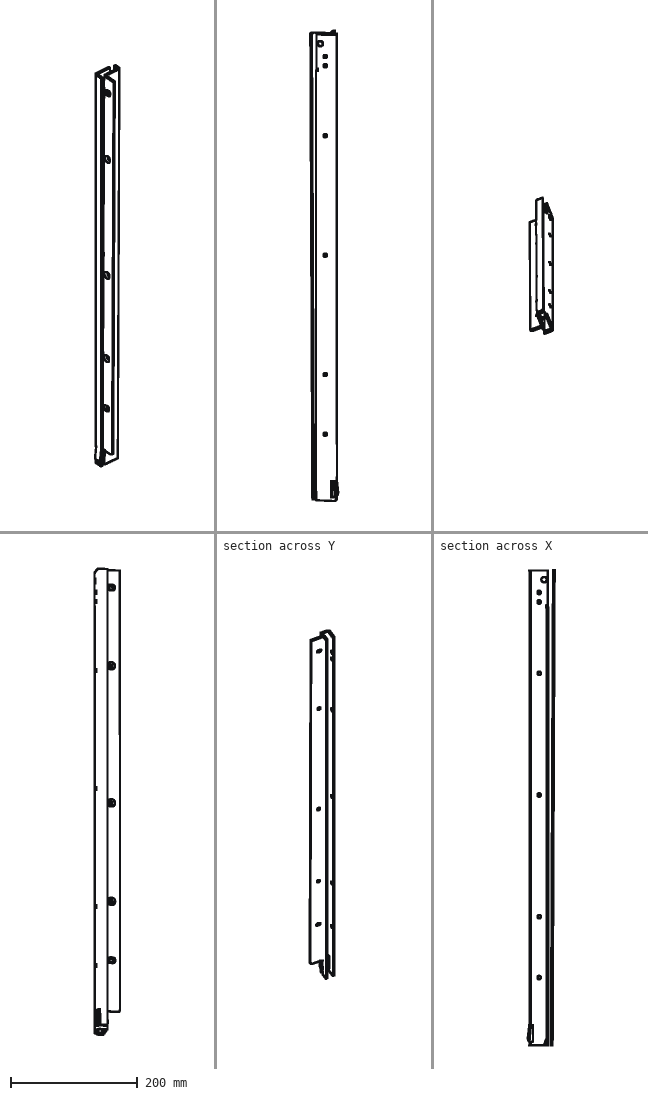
import cadquery as cq
import math

LENGTH = 750.0
WIDTH = 37.0
DEPTH = 43.0

SHEET = 3.0
INNER_RADIUS = 0.5
OUTER_RADIUS = INNER_RADIUS + SHEET

CHANNEL_LENGTH = 749.5
CHANNEL_DEPTH = 31.0
TAB_REACH = 2.0
WALL_OUT = -WIDTH / 2
WALL_IN = WALL_OUT + SHEET
FRONT_OUT = -DEPTH / 2 + TAB_REACH
FRONT_IN = FRONT_OUT + SHEET
BACK_OUT = FRONT_OUT + CHANNEL_DEPTH
BACK_IN = BACK_OUT - SHEET
FRONT_LEG_END = -3.0
BACK_LEG_END = -7.0
CHANNEL_TOP = CHANNEL_LENGTH / 2
CHANNEL_BOTTOM = -CHANNEL_TOP

BACK_LEG_TOP = 316.0
NOTCH_HEIGHT = 4.0
FLAT_WALL_EXTRA = 2.4
LEG_CORNER_RADIUS = 7.0

STOP_HEIGHT = 12.0
STOP_REACH = 4.5

WINDOW_TOP = -343.0
WINDOW_BOTTOM = -369.0
WINDOW_IN_WALL = 6.0
TAB_GAP = 1.5
TAB_END_RADIUS = 7.5
TAB_END_HEIGHT = 4.5

WALL_HOLE_Y = -3.4
WALL_HOLE_DIAMETER = 5.0
WALL_HOLE_HEIGHTS = [340.0, 325.0, 212.0, 20.0, -172.0, -268.0]
END_HOLE_Y = 4.5
END_HOLE_DIAMETER = 8.0
END_HOLE_HEIGHT = 360.0

LEAN_ANGLE = 0.25
LEAN = math.radians(LEAN_ANGLE)
BRACKET_DEPTH = 33.0
BRACKET_LENGTH = (LENGTH - BRACKET_DEPTH * math.sin(LEAN)) / math.cos(LEAN)
BRACKET_TOP = BRACKET_LENGTH / 2
WEB_OUT = -3.0
WEB_IN = WEB_OUT - SHEET
LIP_END = -15.0
FLANGE_END = WIDTH / 2
LIP_OUT = DEPTH / 2 - BRACKET_TOP * math.sin(LEAN)
LIP_IN = LIP_OUT - SHEET
FLANGE_FRONT = LIP_OUT - BRACKET_DEPTH
FLANGE_BACK = FLANGE_FRONT + SHEET
FLANGE_BOTTOM = -344.0
FLANGE_CORNER_RADIUS = 4.0
LIP_CORNER_RADIUS = 5.0

FLANGE_HOLE_X = 4.5
SINK_DIAMETER = 12.0
THROUGH_DIAMETER = 4.5
SINK_TAPER = math.degrees(math.atan((SINK_DIAMETER - THROUGH_DIAMETER) / 2 / SHEET))
ROUND_HOLE_HEIGHTS = [219.0, -4.5, -165.0]
SLOT_LENGTH = 12.0
SLOT_WIDTH = 10.0
SLOT_THROUGH_WIDTH = 4.5
SLOT_TAPER = math.degrees(math.atan((SLOT_WIDTH - SLOT_THROUGH_WIDTH) / 2 / SHEET))
SLOT_HEIGHTS = [346.5, -261.0]


def box(x_range, y_range, z_range):
    """Box between two limits along each axis."""
    sizes = [high - low for low, high in (x_range, y_range, z_range)]
    corner = (x_range[0], y_range[0], z_range[0])
    return cq.Workplane("XY").box(*sizes, centered=False).translate(corner)


def bent_sheet(points, length, bends):
    """Sheet section extruded along Z, with (inner corner, outer corner) pairs rounded as bends."""
    sheet = cq.Workplane("XY").polyline(points).close().extrude(length / 2, both=True)
    for inner, outer in bends:
        for corner, radius in ((inner, INNER_RADIUS), (outer, OUTER_RADIUS)):
            nearest = cq.selectors.NearestToPointSelector((*corner, 0))
            sheet = sheet.edges("|Z").edges(nearest).fillet(radius)
    return sheet


def wall_hole(y, z, diameter):
    """Cylinder through the channel wall."""
    return cq.Workplane("YZ", origin=(WALL_OUT, y, z)).circle(diameter / 2).extrude(SHEET)


def shape_back_leg(channel):
    """Shorten the back leg at the top, round its corner and bend its bottom end inwards."""
    bend_start = BACK_OUT - OUTER_RADIUS
    channel = channel.cut(
        box((WALL_OUT, BACK_LEG_END), (bend_start, BACK_OUT), (BACK_LEG_TOP, CHANNEL_TOP))
    )
    corner = cq.selectors.NearestToPointSelector((BACK_LEG_END, (BACK_IN + BACK_OUT) / 2, BACK_LEG_TOP))
    channel = channel.edges("|Y").edges(corner).fillet(LEG_CORNER_RADIUS)
    channel = channel.union(
        box(
            (WALL_OUT, WALL_IN),
            (bend_start, bend_start + FLAT_WALL_EXTRA),
            (BACK_LEG_TOP + NOTCH_HEIGHT, CHANNEL_TOP),
        )
    )
    stop_start = WALL_OUT + OUTER_RADIUS
    stop_top = CHANNEL_BOTTOM + STOP_HEIGHT
    channel = channel.cut(
        box((stop_start, BACK_LEG_END), (BACK_IN, BACK_OUT), (CHANNEL_BOTTOM, stop_top))
    )
    stop_points = [
        (BACK_IN, stop_top),
        (BACK_OUT, stop_top),
        (BACK_OUT - STOP_REACH, CHANNEL_BOTTOM),
        (BACK_IN - STOP_REACH, CHANNEL_BOTTOM),
    ]
    stop = cq.Workplane("YZ", origin=(stop_start, 0, 0)).polyline(stop_points).close()
    return channel.union(stop.extrude(BACK_LEG_END - stop_start))


def add_latch_tab(channel):
    """Open the window in the front bend and leg, and add the outward ramp hanging in it."""
    window = box(
        (WALL_OUT, FRONT_LEG_END),
        (FRONT_OUT, FRONT_OUT + WINDOW_IN_WALL),
        (WINDOW_BOTTOM, WINDOW_TOP),
    )
    tab_out = FRONT_OUT - TAB_REACH
    tab_bottom = WINDOW_BOTTOM + TAB_GAP
    knee = tab_bottom + TAB_END_HEIGHT
    end_angle = math.asin(TAB_END_HEIGHT / TAB_END_RADIUS)

    def on_end_arc(angle):
        """Point on the rounded lower end, measured from the knee."""
        return (
            tab_out + TAB_END_RADIUS * (1 - math.cos(angle)),
            knee - TAB_END_RADIUS * math.sin(angle),
        )

    tab = (
        cq.Workplane("YZ", origin=(WALL_OUT + OUTER_RADIUS, 0, 0))
        .moveTo(FRONT_OUT, WINDOW_TOP)
        .lineTo(tab_out, knee)
        .threePointArc(on_end_arc(end_angle / 2), on_end_arc(end_angle))
        .lineTo(tab_out + SHEET, tab_bottom)
        .lineTo(FRONT_IN, WINDOW_TOP)
        .close()
        .extrude(FRONT_LEG_END - WALL_OUT - OUTER_RADIUS)
    )
    return channel.cut(window).union(tab)


def make_channel():
    section = [
        (FRONT_LEG_END, FRONT_OUT),
        (WALL_OUT, FRONT_OUT),
        (WALL_OUT, BACK_OUT),
        (BACK_LEG_END, BACK_OUT),
        (BACK_LEG_END, BACK_IN),
        (WALL_IN, BACK_IN),
        (WALL_IN, FRONT_IN),
        (FRONT_LEG_END, FRONT_IN),
    ]
    bends = [
        ((WALL_IN, FRONT_IN), (WALL_OUT, FRONT_OUT)),
        ((WALL_IN, BACK_IN), (WALL_OUT, BACK_OUT)),
    ]
    channel = bent_sheet(section, CHANNEL_LENGTH, bends)
    channel = shape_back_leg(channel)
    channel = add_latch_tab(channel)
    for height in WALL_HOLE_HEIGHTS:
        channel = channel.cut(wall_hole(WALL_HOLE_Y, height, WALL_HOLE_DIAMETER))
    return channel.cut(wall_hole(END_HOLE_Y, END_HOLE_HEIGHT, END_HOLE_DIAMETER))


def flange_plane(height):
    """Plane on the front face of the flange, centred on the hole at this height."""
    return cq.Workplane("XZ", origin=(FLANGE_HOLE_X, FLANGE_FRONT, height))


def cut_flange_holes(bracket):
    """Countersinks that narrow from the front face right through the flange."""
    for height in ROUND_HOLE_HEIGHTS:
        sink = flange_plane(height).circle(SINK_DIAMETER / 2).extrude(-SHEET, taper=SINK_TAPER)
        bracket = bracket.cut(sink)
    for height in SLOT_HEIGHTS:
        sink = flange_plane(height).slot2D(SLOT_LENGTH, SLOT_WIDTH).extrude(-SHEET, taper=SLOT_TAPER)
        bracket = bracket.cut(sink)
    return bracket


def make_bracket():
    section = [
        (LIP_END, LIP_OUT),
        (WEB_OUT, LIP_OUT),
        (WEB_OUT, FLANGE_BACK),
        (FLANGE_END, FLANGE_BACK),
        (FLANGE_END, FLANGE_FRONT),
        (WEB_IN, FLANGE_FRONT),
        (WEB_IN, LIP_IN),
        (LIP_END, LIP_IN),
    ]
    bends = [
        ((WEB_IN, LIP_IN), (WEB_OUT, LIP_OUT)),
        ((WEB_OUT, FLANGE_BACK), (WEB_IN, FLANGE_FRONT)),
    ]
    bracket = bent_sheet(section, BRACKET_LENGTH, bends)

    web_edge = FLANGE_FRONT + OUTER_RADIUS
    bracket = bracket.cut(
        box((WEB_IN, FLANGE_END), (FLANGE_FRONT, web_edge), (-BRACKET_TOP, FLANGE_BOTTOM))
    )
    flange_corner = cq.selectors.NearestToPointSelector((FLANGE_END, FLANGE_FRONT, FLANGE_BOTTOM))
    bracket = bracket.edges("|Y").edges(flange_corner).fillet(FLANGE_CORNER_RADIUS)
    lip_corner = cq.selectors.NearestToPointSelector((LIP_END, LIP_OUT, -BRACKET_TOP))
    bracket = bracket.edges("|Y").edges(lip_corner).fillet(LIP_CORNER_RADIUS)

    bracket = cut_flange_holes(bracket)
    return bracket.rotate((0, 0, 0), (1, 0, 0), -LEAN_ANGLE)


channel = make_channel()
bracket = make_bracket()
result = cq.Compound.makeCompound([channel.val(), bracket.val()])